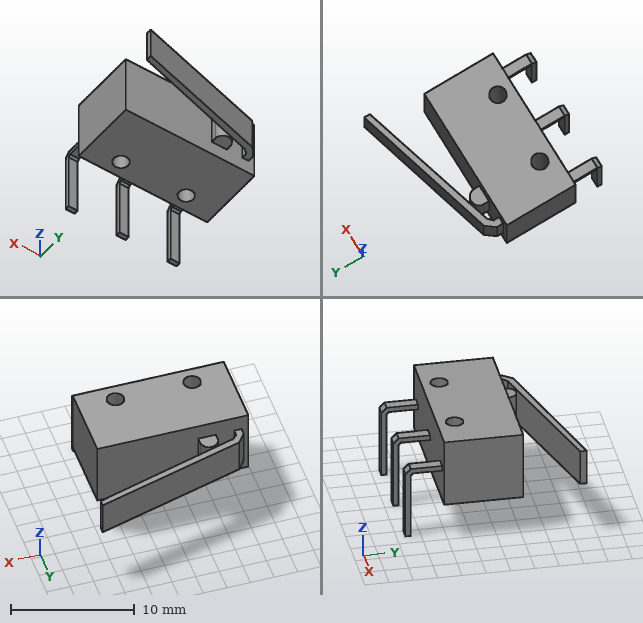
import cadquery as cq

body_length = 12.8
body_depth = 6.5
body_height = 5.8
mid_height = body_height / 2
mid_length = body_length / 2

hole_diameter = 1.4
hole_pitch = 6.5
hole_setback = 1.46

terminal_count = 3
terminal_pitch = 5.08
terminal_width = 0.9
terminal_thickness = 0.44
terminal_reach = 3.02
terminal_drop = 3.1
terminal_outer_chamfer = terminal_thickness
terminal_inner_chamfer = 0.19

lever_width = 3.03
lever_foot_left = 0.58
lever_foot_right = 1.2
lever_outer_bend_start = 0.57
lever_outer_bend_end = (1.23, 1.42)
lever_inner_bend_start = 0.52
lever_inner_bend_end = (1.62, 0.9)
lever_tip_x = 13.95
lever_tip_top = 4.99
lever_tip_thickness = 0.54

plunger_center_x = 3.51
plunger_width = 1.5
plunger_height = 1.23


def make_body():
    """Rectangular housing with two through holes."""
    block = cq.Workplane("XY").box(body_length, body_depth, body_height, centered=False)
    hole_centers = [(mid_length + side * hole_pitch / 2, hole_setback) for side in (-1, 1)]
    holes = (
        cq.Workplane("XY")
        .pushPoints(hole_centers)
        .circle(hole_diameter / 2)
        .extrude(body_height)
    )
    return block.cut(holes)


def make_terminal(center_x):
    """Flat strip leaving the front face and bent straight down."""
    top = mid_height + terminal_thickness / 2
    underside = top - terminal_thickness
    outer_y = -terminal_reach
    inner_y = outer_y + terminal_thickness
    outline = [
        (0, top),
        (outer_y + terminal_outer_chamfer, top),
        (outer_y, top - terminal_outer_chamfer),
        (outer_y, -terminal_drop),
        (inner_y, -terminal_drop),
        (inner_y, underside - terminal_inner_chamfer),
        (inner_y + terminal_inner_chamfer, underside),
        (0, underside),
    ]
    return (
        cq.Workplane("YZ", origin=(center_x, 0, 0))
        .polyline(outline)
        .close()
        .extrude(terminal_width / 2, both=True)
    )


def make_lever():
    """Strip rising from the rear face, then bent to slope out past the housing."""
    outline = [
        (lever_foot_left, 0),
        (lever_foot_left, lever_outer_bend_start),
        lever_outer_bend_end,
        (lever_tip_x, lever_tip_top),
        (lever_tip_x, lever_tip_top - lever_tip_thickness),
        lever_inner_bend_end,
        (lever_foot_right, lever_inner_bend_start),
        (lever_foot_right, 0),
    ]
    return (
        cq.Workplane("XY", origin=(0, body_depth, mid_height))
        .polyline(outline)
        .close()
        .extrude(lever_width / 2, both=True)
    )


def make_plunger():
    """Button as wide as the lever, with a fully rounded top."""
    radius = plunger_width / 2
    straight_height = plunger_height - radius
    return (
        cq.Workplane("XY", origin=(plunger_center_x, body_depth, mid_height))
        .moveTo(-radius, 0)
        .lineTo(-radius, straight_height)
        .threePointArc((0, plunger_height), (radius, straight_height))
        .lineTo(radius, 0)
        .close()
        .extrude(lever_width / 2, both=True)
    )


result = make_body().union(make_lever()).union(make_plunger())
for index in range(terminal_count):
    offset = (index - (terminal_count - 1) / 2) * terminal_pitch
    result = result.union(make_terminal(mid_length + offset))